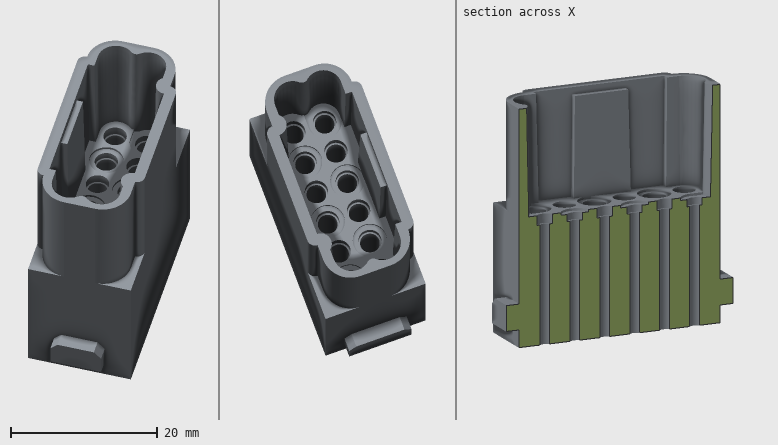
import cadquery as cq
import math

BODY_WIDTH = 14.6
BODY_LENGTH = 30.3
BODY_HEIGHT = 18.5
TOTAL_LENGTH = 34.1
TOTAL_HEIGHT = 34.0

NECK_HALF = 6.2
SHROUD_CORNER = 4.0
SHOULDER_RADIUS = BODY_WIDTH / 2 - NECK_HALF
LEFT_SHOULDER_Y = 11.2
RIGHT_SHOULDER_Y = 9.0

PITCH = 4.5
ROWS = 6
COLUMN_X = PITCH / 2
END_ROW_Y = PITCH * (ROWS - 1) / 2
BORE_DIAMETER = 2.7
COUNTERBORE_DIAMETER = 3.2
COUNTERBORE_DEPTH = 1.02
SEAT_RADIUS = 2.35
SEAT_DEPTH = 0.35

CAVITY_DEPTH = TOTAL_HEIGHT - BODY_HEIGHT
FLOOR_Z = TOTAL_HEIGHT - CAVITY_DEPTH
DRAFT_ANGLE = 1.0
FLOOR_INSET = CAVITY_DEPTH * math.tan(math.radians(DRAFT_ANGLE))
CAVITY_HALF = 5.73
LOBE_RADIUS = 2.55
LOBE_Y = 11.65
RIDGE_RADIUS = 0.85
POCKET_END_Y = 9.85
KEY_RADIUS = 1.5
KEY_Y = RIGHT_SHOULDER_Y

RIB_LENGTH = 8.0
RIB_FACE_X = -(COLUMN_X + LOBE_RADIUS)
RIB_TOP_GAP = 1.02

TAB_REACH = (TOTAL_LENGTH - BODY_LENGTH) / 2
TAB_BOTTOM = 2.52
TAB_HEIGHT = 3.75
TAB_CHAMFER = 1.02
FRONT_TAB_WIDTH = 7.2
BACK_TAB_WIDTH = 9.07


def shroud():
    """Outer wall block: rounded ends, with a small round shoulder at each end of both sides."""
    half_width = BODY_WIDTH / 2
    half_length = BODY_LENGTH / 2
    end_flat = NECK_HALF - SHROUD_CORNER
    corner_y = half_length - SHROUD_CORNER
    left_y = LEFT_SHOULDER_Y - SHOULDER_RADIUS
    right_y = RIGHT_SHOULDER_Y - SHOULDER_RADIUS
    return (
        cq.Workplane("XY", origin=(0, 0, BODY_HEIGHT))
        .moveTo(-half_width, -left_y)
        .lineTo(-half_width, left_y)
        .radiusArc((-NECK_HALF, LEFT_SHOULDER_Y), SHOULDER_RADIUS)
        .lineTo(-NECK_HALF, corner_y)
        .radiusArc((-end_flat, half_length), SHROUD_CORNER)
        .lineTo(end_flat, half_length)
        .radiusArc((NECK_HALF, corner_y), SHROUD_CORNER)
        .lineTo(NECK_HALF, RIGHT_SHOULDER_Y)
        .radiusArc((half_width, right_y), SHOULDER_RADIUS)
        .lineTo(half_width, -right_y)
        .radiusArc((NECK_HALF, -RIGHT_SHOULDER_Y), SHOULDER_RADIUS)
        .lineTo(NECK_HALF, -corner_y)
        .radiusArc((end_flat, -half_length), SHROUD_CORNER)
        .lineTo(-end_flat, -half_length)
        .radiusArc((-NECK_HALF, -corner_y), SHROUD_CORNER)
        .lineTo(-NECK_HALF, -LEFT_SHOULDER_Y)
        .radiusArc((-half_width, -left_y), SHOULDER_RADIUS)
        .close()
        .extrude(TOTAL_HEIGHT - BODY_HEIGHT)
    )


def cavity_outline(plane, inset):
    """Cavity section with every wall moved inward by the inset."""
    lobe = LOBE_RADIUS - inset
    ridge = RIDGE_RADIUS + inset
    key = KEY_RADIUS + inset
    wall = CAVITY_HALF - inset
    side = COLUMN_X + lobe
    pocket_y = POCKET_END_Y - inset

    ridge_rise = math.sqrt((lobe + ridge) ** 2 - COLUMN_X**2)
    touch_x = COLUMN_X * ridge / (lobe + ridge)
    touch_y = LOBE_Y + ridge_rise * lobe / (lobe + ridge)
    ridge_y = LOBE_Y + ridge_rise - ridge
    lobe_y = LOBE_Y + lobe

    key_tip_x = CAVITY_HALF - key
    key_outer_y = KEY_Y + math.sqrt(key**2 - (CAVITY_HALF - side) ** 2)
    key_inner_y = KEY_Y - math.sqrt(key**2 - (CAVITY_HALF - wall) ** 2)

    return (
        plane.moveTo(-wall, -pocket_y)
        .lineTo(-wall, pocket_y)
        .lineTo(-side, pocket_y)
        .lineTo(-side, LOBE_Y)
        .threePointArc((-COLUMN_X, lobe_y), (-touch_x, touch_y))
        .threePointArc((0, ridge_y), (touch_x, touch_y))
        .threePointArc((COLUMN_X, lobe_y), (side, LOBE_Y))
        .lineTo(side, key_outer_y)
        .threePointArc((key_tip_x, KEY_Y), (wall, key_inner_y))
        .lineTo(wall, -key_inner_y)
        .threePointArc((key_tip_x, -KEY_Y), (side, -key_outer_y))
        .lineTo(side, -LOBE_Y)
        .threePointArc((COLUMN_X, -lobe_y), (touch_x, -touch_y))
        .threePointArc((0, -ridge_y), (-touch_x, -touch_y))
        .threePointArc((-COLUMN_X, -lobe_y), (-side, -LOBE_Y))
        .lineTo(-side, -pocket_y)
        .close()
    )


def rib_section(plane, growth):
    """Rib section from the left side of the shroud to the rib face, with its faces moved outward."""
    face_x = RIB_FACE_X + growth
    half_length = RIB_LENGTH / 2 + growth
    return (
        plane.moveTo(-BODY_WIDTH / 2, -half_length)
        .lineTo(face_x, -half_length)
        .lineTo(face_x, half_length)
        .lineTo(-BODY_WIDTH / 2, half_length)
        .close()
    )


def cavity():
    """Drafted cavity, less the rib that stands on its left wall."""
    rim = cavity_outline(cq.Workplane("XY", origin=(0, 0, TOTAL_HEIGHT)), 0)
    space = cavity_outline(rim.workplane(offset=-CAVITY_DEPTH), FLOOR_INSET).loft(ruled=True)
    rib_height = CAVITY_DEPTH - RIB_TOP_GAP
    rib = rib_section(cq.Workplane("XY", origin=(0, 0, FLOOR_Z)), FLOOR_INSET)
    rib = rib_section(rib.workplane(offset=rib_height), 0).loft(ruled=True)
    return space.cut(rib)


def seat_block(x0, x1, y0, y1):
    """Rectangular piece of a seat recess."""
    return (
        cq.Workplane("XY", origin=((x0 + x1) / 2, (y0 + y1) / 2, FLOOR_Z - SEAT_DEPTH))
        .rect(x1 - x0, y1 - y0)
        .extrude(SEAT_DEPTH)
    )


def seats():
    """Shallow recesses in the floor around every second contact, kept inside the cavity walls."""
    centres = []
    for row in range(ROWS):
        column = -1 if row % 2 == 0 else 1
        centres.append((column * COLUMN_X, row * PITCH - END_ROW_Y))
    recess = (
        cq.Workplane("XY", origin=(0, 0, FLOOR_Z - SEAT_DEPTH))
        .pushPoints(centres)
        .circle(SEAT_RADIUS)
        .extrude(SEAT_DEPTH)
    )

    inner_x = COLUMN_X - SEAT_RADIUS
    wall_y = BODY_LENGTH / 2
    recess = recess.union(seat_block(-CAVITY_HALF, -inner_x, -wall_y, -END_ROW_Y))
    recess = recess.union(seat_block(inner_x, CAVITY_HALF, END_ROW_Y, wall_y))
    recess = recess.union(seat_block(COLUMN_X, CAVITY_HALF, END_ROW_Y - SEAT_RADIUS, END_ROW_Y))

    seat_plane = cq.Workplane("XY", origin=(0, 0, FLOOR_Z - SEAT_DEPTH))
    floor_prism = cavity_outline(seat_plane, FLOOR_INSET).extrude(SEAT_DEPTH)
    rib_foot = rib_section(seat_plane, FLOOR_INSET).extrude(SEAT_DEPTH)
    return recess.intersect(floor_prism).cut(rib_foot)


def contact_holes(diameter, bottom_z):
    """All contact holes of one diameter, from the given level up to the cavity floor."""
    return (
        cq.Workplane("XY", origin=(0, 0, bottom_z))
        .rarray(PITCH, PITCH, 2, ROWS)
        .circle(diameter / 2)
        .extrude(FLOOR_Z - bottom_z)
    )


def latch_tab(width, direction):
    """End tab with both upper corners chamfered; direction is -1 for the front, 1 for the back."""
    overlap = 0.35
    length = TAB_REACH + overlap
    centre_y = direction * (TOTAL_LENGTH - length) / 2
    return (
        cq.Workplane("XY", origin=(0, centre_y, TAB_BOTTOM))
        .box(width, length, TAB_HEIGHT, centered=(True, True, False))
        .edges("|Y and >Z")
        .chamfer(TAB_CHAMFER)
    )


block = cq.Workplane("XY").box(BODY_WIDTH, BODY_LENGTH, BODY_HEIGHT, centered=(True, True, False))
housing = block.union(shroud())
housing = housing.union(latch_tab(FRONT_TAB_WIDTH, -1)).union(latch_tab(BACK_TAB_WIDTH, 1))
housing = housing.cut(cavity()).cut(seats())
housing = housing.cut(contact_holes(COUNTERBORE_DIAMETER, FLOOR_Z - SEAT_DEPTH - COUNTERBORE_DEPTH))
result = housing.cut(contact_holes(BORE_DIAMETER, 0))